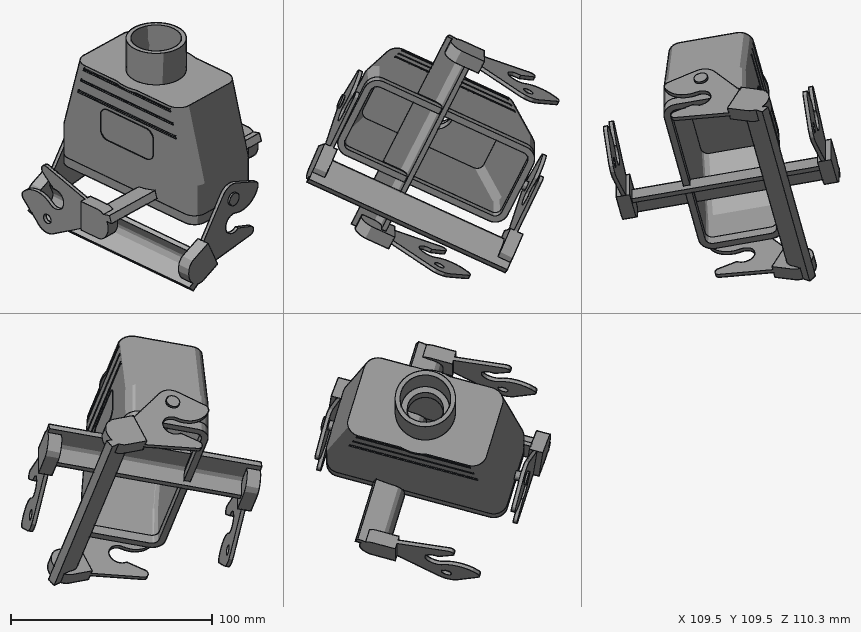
import cadquery as cq
import math

hood_height = 63.3
hood_depth = 43.0
base_width = 93.1
top_width = 71.5
knee_height = 22.5
corner_radius = 7.1
wall = 3.3
rim_height = 5.2

collar_diameter = 45.0
collar_thickness = 1.7
entry_diameter = 30.0
entry_top = 81.5
socket_top_diameter = 25.2
socket_floor_diameter = 24.3
socket_depth = 14.8
cable_hole_diameter = 18.0

groove_depth = 1.0
grooves = [(1.7, 1.5), (8.8, 1.2), (15.7, 1.7)]
badge_width = 35.9
badge_height = 17.7
badge_centre_height = 35.1
badge_corner_radius = 4.9
badge_recess = 0.3

pin_height = 9.7
pin_diameter = 4.9
pin_head_diameter = 7.0
pin_head_thickness = 1.1
pin_head_gap = 0.2

lever_length = 109.5
grip_width = 7.0
plate_outer_offset = 51.7
plate_thickness = 2.0
pivot_hole_diameter = 5.1
pivot_end_radius = 8.2
back_edge_angle = 45.0
front_edge_angle = 30.0
cam_centre = (-7.0, -0.3)
cam_radius = 13.3
slot_centre = (5.6, 13.6)
slot_radius = 5.5
slot_mouth = (4.2, 19.0)
nose_centre = (-13.8, 7.3)
nose_radius = 3.3
prong_centre = (-1.4, 27.7)
prong_radius = 2.4
prong_outer_angle = 17.5
prong_inner_angle = 43.5

grip_start = 25.6
grip_corner_start = 37.1
grip_corner_end = 42.0
grip_corner_rise = 2.4
grip_end = 44.1
grip_bottom = 5.3
grip_top = 21.8

bar_bend_centre = (36.6, 13.3)
bar_outer_radius = 6.2
bar_inner_radius = 4.3
bar_leg_thickness = 2.5
bar_lip_thickness = 2.2
bar_leg_end = 7.9
bar_lip_start = grip_corner_start
bar_lip_tip = (45.0, 21.5)
bar_lip_end = 46.3

closed_lever_tilt = 25.0
loose_lever_pivot = (-25.8, 0, -11.0)


def polar(centre, radius, degrees):
    """Point at an angle on a circle."""
    angle = math.radians(degrees)
    return (centre[0] + radius * math.cos(angle), centre[1] + radius * math.sin(angle))


def towards(start, end, distance):
    """Point at a distance from start on the way to end."""
    degrees = math.degrees(math.atan2(end[1] - start[1], end[0] - start[0]))
    return polar(start, distance, degrees)


def lower_slab(height):
    """Slab wider than the hood, from Z = 0 up to a height."""
    return cq.Workplane("XY").rect(2 * base_width, 2 * hood_depth).extrude(height)


def tapered_block(inset, height):
    """Round-cornered block with leaning ends; a positive inset makes it smaller all round."""
    half_base = base_width / 2 - inset
    half_top = top_width / 2 - inset
    outline = [(-half_base, 0), (half_base, 0), (half_base, knee_height), (half_top, hood_height),
               (-half_top, hood_height), (-half_base, knee_height)]
    depth = hood_depth - 2 * inset
    block = cq.Workplane("XZ").polyline(outline).close().extrude(depth / 2, both=True)
    block = block.faces("<Y or >Y").edges("not |X").fillet(corner_radius - inset)
    return block.intersect(lower_slab(height))


def half_width_at(height):
    """Half width of the hood along X at a height above the knee."""
    rise = (height - knee_height) / (hood_height - knee_height)
    return (base_width + rise * (top_width - base_width)) / 2


def groove_pair(drop, height):
    """Shallow grooves across the flat part of both long faces."""
    upper = hood_height - drop
    lower = upper - height
    half_upper = half_width_at(upper) - corner_radius
    half_lower = half_width_at(lower) - corner_radius
    outline = [(-half_lower, lower), (half_lower, lower), (half_upper, upper), (-half_upper, upper)]
    slab = cq.Workplane("XZ").polyline(outline).close().extrude(hood_depth / 2, both=True)
    core = cq.Workplane("XY").box(base_width, hood_depth - 2 * groove_depth, 3 * hood_height)
    return slab.cut(core)


def badge():
    """Shallow round-cornered recess in the front face."""
    return (
        cq.Workplane("XZ", origin=(0, -hood_depth / 2 + badge_recess, badge_centre_height))
        .rect(badge_width, badge_height)
        .extrude(badge_recess)
        .edges("|Y")
        .fillet(badge_corner_radius)
    )


def pivot_pin(side):
    """Headed pin from the hood wall outward; side is +1 or -1 along X."""
    root = base_width / 2 - wall / 2
    plane = cq.Plane(origin=(side * root, 0, pin_height), xDir=(0, 1, 0), normal=(side, 0, 0))
    shank_length = plate_outer_offset + pin_head_gap - root
    shank = cq.Workplane(plane).circle(pin_diameter / 2).extrude(shank_length)
    head = (
        cq.Workplane(plane)
        .workplane(offset=shank_length)
        .circle(pin_head_diameter / 2)
        .extrude(pin_head_thickness)
    )
    return shank.union(head)


def make_hood():
    """Hollow hood with its cable entry and pivot pins, open at the bottom above the rim."""
    body = tapered_block(0, hood_height)
    collar = (
        cq.Workplane("XY", origin=(0, 0, hood_height - collar_thickness))
        .circle(collar_diameter / 2)
        .extrude(collar_thickness)
    )
    entry = (
        cq.Workplane("XY", origin=(0, 0, hood_height - wall))
        .circle(entry_diameter / 2)
        .extrude(entry_top - hood_height + wall)
    )
    for drop, height in grooves:
        body = body.cut(groove_pair(drop, height))
    body = body.cut(badge()).union(collar).union(entry)

    body = body.cut(tapered_block(wall, hood_height - wall))
    body = body.cut(cq.Workplane("XY").circle(cable_hole_diameter / 2).extrude(entry_top))
    socket = (
        cq.Workplane("XY", origin=(0, 0, entry_top - socket_depth))
        .circle(socket_floor_diameter / 2)
        .workplane(offset=socket_depth)
        .circle(socket_top_diameter / 2)
        .loft()
    )
    body = body.cut(socket).cut(lower_slab(rim_height))
    for side in (-1, 1):
        body = body.union(pivot_pin(side))
    return body


def make_rim():
    """Frame that continues the hood walls down to Z = 0."""
    return tapered_block(0, rim_height).cut(tapered_block(wall, rim_height))


def side_plate(offset):
    """Hook-shaped plate, starting at W = offset."""
    nose_start = towards(cam_centre, nose_centre, cam_radius)
    back_angle = 180 + back_edge_angle
    slot_end = towards(slot_centre, cam_centre, slot_radius)
    return (
        cq.Workplane("XY", origin=(0, 0, offset))
        .moveTo(grip_start, grip_bottom)
        .lineTo(grip_start, grip_top)
        .lineTo(*polar(prong_centre, prong_radius, 90 - prong_outer_angle))
        .threePointArc(
            polar(prong_centre, prong_radius, 165),
            polar(prong_centre, prong_radius, 270 - prong_inner_angle),
        )
        .lineTo(*slot_mouth)
        .threePointArc(polar(slot_centre, slot_radius, 0), slot_end)
        .threePointArc(polar(cam_centre, cam_radius, 90), nose_start)
        .threePointArc(
            polar(nose_centre, nose_radius, 180),
            polar(nose_centre, nose_radius, back_angle),
        )
        .lineTo(*polar((0, 0), pivot_end_radius, back_angle))
        .threePointArc(
            polar((0, 0), pivot_end_radius, 270),
            polar((0, 0), pivot_end_radius, 270 + front_edge_angle),
        )
        .close()
        .moveTo(0, 0)
        .circle(pivot_hole_diameter / 2)
        .extrude(plate_thickness)
    )


def grip_block(offset):
    """End block with a rounded end, starting at W = offset."""
    lower_corner = (grip_corner_end, grip_bottom + grip_corner_rise)
    upper_corner = (grip_corner_end, grip_top - grip_corner_rise)
    middle = (grip_bottom + grip_top) / 2
    return (
        cq.Workplane("XY", origin=(0, 0, offset))
        .moveTo(grip_start, grip_bottom)
        .lineTo(grip_corner_start, grip_bottom)
        .tangentArcPoint(lower_corner, relative=False)
        .threePointArc((grip_end, middle), upper_corner)
        .tangentArcPoint((grip_corner_start, grip_top), relative=False)
        .lineTo(grip_start, grip_top)
        .close()
        .extrude(grip_width)
    )


def grip_bar():
    """J-shaped strip over the full length: a leg, a quarter bend and a rising lip."""
    bend_u, bend_v = bar_bend_centre
    leg_back = bend_u - bar_outer_radius
    leg_front = leg_back + bar_leg_thickness
    bend_top = bend_v + bar_outer_radius
    lip_underside = bend_top - bar_lip_thickness
    inner_centre = (leg_front + bar_inner_radius, lip_underside - bar_inner_radius)
    return (
        cq.Workplane("XY", origin=(0, 0, -lever_length / 2))
        .moveTo(leg_back, bar_leg_end)
        .lineTo(leg_back, bend_v)
        .threePointArc(polar(bar_bend_centre, bar_outer_radius, 135), (bend_u, bend_top))
        .lineTo(bar_lip_start, bend_top)
        .lineTo(*bar_lip_tip)
        .lineTo(bar_lip_end, lip_underside)
        .lineTo(inner_centre[0], lip_underside)
        .threePointArc(
            polar(inner_centre, bar_inner_radius, 135),
            (leg_front, inner_centre[1]),
        )
        .lineTo(leg_front, bar_leg_end)
        .close()
        .extrude(lever_length)
    )


def make_lever(origin, along, normal):
    """Lever placed with its pivot at origin, U along the given direction and W along normal."""
    lever = grip_bar()
    for offset in (-lever_length / 2, lever_length / 2 - grip_width):
        lever = lever.union(grip_block(offset))
    for offset in (-plate_outer_offset, plate_outer_offset - plate_thickness):
        lever = lever.union(side_plate(offset))
    plane = cq.Plane(origin=origin, xDir=along, normal=normal)
    return cq.Workplane(lever.val().moved(cq.Location(plane)))


tilt = math.radians(closed_lever_tilt)
closed_lever = make_lever((0, 0, pin_height), (0, -math.cos(tilt), -math.sin(tilt)), (1, 0, 0))
loose_lever = make_lever(loose_lever_pivot, (1, 0, 0), (0, -1, 0))

rim = make_rim()
hood = make_hood().cut(loose_lever)
loose_lever = loose_lever.cut(rim)

bodies = [hood, rim, closed_lever, loose_lever]
result = cq.Compound.makeCompound([body.solids().val() for body in bodies])